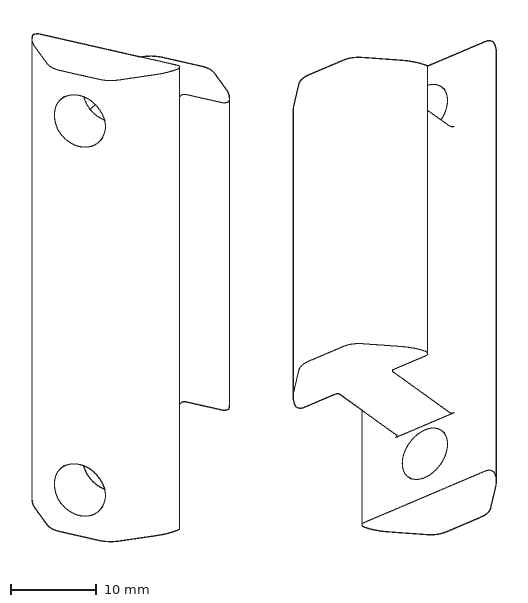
import cadquery as cq
import math

width = 19.1
depth = 26.3
front_height = 60.0
back_height = 40.0

head_depth = 7.4
outer_flat_half = 2.54
shoulder_radius = 3.0
slope_run = 3.28
tip_radius = 0.6

web_width = 7.8
web_fillet = 0.4

hole_diameter = 6.65
hole_end_distance = 6.0

inner_face_y = depth / 2 - head_depth
cos45 = math.cos(math.pi / 4)
slope_start_x = outer_flat_half + shoulder_radius * cos45
slope_start_depth = shoulder_radius * (1 - cos45)


def tip_geometry():
    """Return the flank arc's middle and end, and the tip arc's middle, as (x, depth from outer face).

    The flank arc leaves the 45 degree slope tangentially and runs tangentially into the tip arc.
    """
    start_x = slope_start_x + slope_run
    start_d = slope_start_depth + slope_run
    tip_x = width / 2 - tip_radius
    tip_d = head_depth - tip_radius

    offset_x = start_x - tip_x
    offset_d = start_d - tip_d
    normal_offset = (offset_x - offset_d) * cos45
    flank_radius = (offset_x**2 + offset_d**2 - tip_radius**2) / (2 * (normal_offset - tip_radius))
    flank_x = start_x - flank_radius * cos45
    flank_d = start_d + flank_radius * cos45

    end_angle = math.atan2(tip_d - flank_d, tip_x - flank_x)
    flank_mid_angle = (end_angle - math.pi / 4) / 2
    tip_mid_angle = (end_angle + math.pi / 2) / 2

    def on_circle(x, d, radius, angle):
        return (x + radius * math.cos(angle), d + radius * math.sin(angle))

    flank_mid = on_circle(flank_x, flank_d, flank_radius, flank_mid_angle)
    flank_end = on_circle(tip_x, tip_d, tip_radius, end_angle)
    tip_mid = on_circle(tip_x, tip_d, tip_radius, tip_mid_angle)
    return flank_mid, flank_end, tip_mid


def make_head(height):
    """Front head as a vertical bar: half section extruded, then mirrored across X = 0."""
    flank_mid, flank_end, tip_mid = tip_geometry()

    def place(point):
        return (point[0], point[1] - depth / 2)

    slope_start = place((slope_start_x, slope_start_depth))
    slope_end = place((slope_start_x + slope_run, slope_start_depth + slope_run))
    tip_end = place((width / 2 - tip_radius, head_depth))
    half = (
        cq.Workplane("XY")
        .moveTo(0, -depth / 2)
        .lineTo(outer_flat_half, -depth / 2)
        .tangentArcPoint(slope_start, relative=False)
        .lineTo(*slope_end)
        .threePointArc(place(flank_mid), place(flank_end))
        .threePointArc(place(tip_mid), tip_end)
        .lineTo(0, -inner_face_y)
        .close()
        .extrude(height / 2, both=True)
    )
    return half.union(half.mirror("YZ")).clean()


def make_web():
    """Web between the heads, flaring with a concave fillet at each of its four corners."""
    web_length = 2 * inner_face_y
    web = cq.Workplane("XY").box(web_width + 2 * web_fillet, web_length, back_height)
    groove_width = 4 * web_fillet
    groove_x = (web_width + groove_width) / 2
    grooves = (
        cq.Workplane("XY")
        .pushPoints([(-groove_x, 0), (groove_x, 0)])
        .box(groove_width, web_length, back_height)
        .edges("|Z")
        .fillet(web_fillet)
    )
    return web.cut(grooves)


def make_holes():
    """Screw holes running along Y through the front head only."""
    hole_z = front_height / 2 - hole_end_distance
    return (
        cq.Workplane("XZ", origin=(0, -inner_face_y, 0))
        .pushPoints([(0, -hole_z), (0, hole_z)])
        .circle(hole_diameter / 2)
        .extrude(head_depth)
    )


front_head = make_head(front_height).cut(make_holes())
back_head = make_head(back_height).mirror("XZ")
result = front_head.union(make_web()).union(back_head)